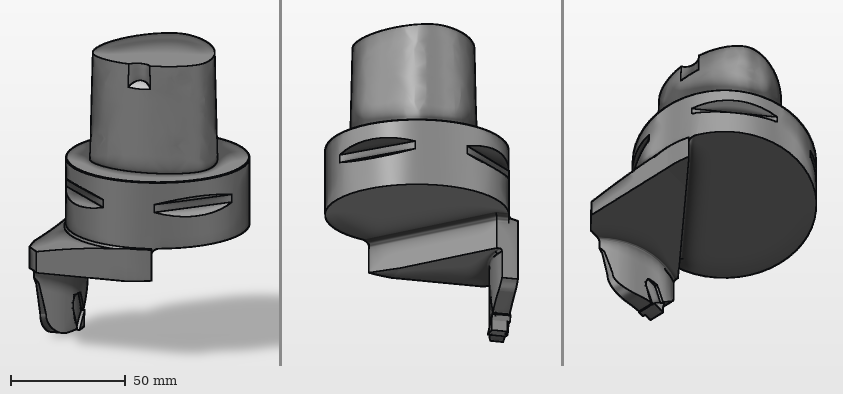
import cadquery as cq
import math


shank_length = 48.2
shank_mean_radius = 27.8
lobe_height = 2.0
taper_per_length = 1 / 40
lobe_curve_points = 48

key_radius = 6.0
key_inner_y = -21.8
key_inner_floor = 40.5

flange_radius = 40.03
flange_height = 30.1
flange_chamfer = 0.4
groove_z = -11.9
groove_floor_width = 3.5
groove_floor_distance = 35.4
groove_flank_angle = 30

platform_radius = 40.4
platform_bottom = -45.5
left_x = -47.33
blade_back_y = 10.0
corner_chamfer = (5.5, 6.4)
back_wall_start_x = -33.3
back_wall_end_x = 10.8
back_wall_fillet = 3.2
relief_start_x = -0.4
relief_rise = 0.9
cone_inner = (40.7, -31.3)
cone_outer = (58.3, -36.0)

selection_margin = 0.1

outer_arc_radius = 65.3
outer_arc_center = (-107.2, -1.3)
inner_arc_radius = 36.3
inner_arc_center_x = -70.5
blade_tip_z = -79.4
blade_front_y = -28.0
root_fillet = 1.3
blade_back_straight_z = -58.9
blade_back_bend = ((8.8, -61.5), (7.0, -64))
blade_back_foot = (0.8, -71.5)
blade_back_tip_y = -5.1
blade_corner_start_y = -13.3
blade_corner_middle = (-20.6, -76.5)
blade_corner_end = (-23.8, -68.9)
blade_front_taper_start = (-26.4, -54.3)
blade_front_straight_z = -51.1

insert_outer_x = -42.1
insert_inner_x = -35.5
insert_head_x = -33.8
insert_tip_z = -79.9
head_recess = 1.3


def arc_point_at_x(center, radius, x, side):
    """Point of a circle at a given x, on the +Y (side 1) or -Y (side -1) half."""
    return (x, center[1] + side * math.sqrt(radius**2 - (x - center[0]) ** 2))


def arc_point_at_y(center, radius, y):
    """Point of a circle at a given y, on its +X half."""
    return (center[0] + math.sqrt(radius**2 - (y - center[1]) ** 2), y)


inner_arc_center = (inner_arc_center_x, 0)
outer_front = arc_point_at_x(outer_arc_center, outer_arc_radius, left_x, -1)
outer_middle = (outer_arc_center[0] + outer_arc_radius, outer_arc_center[1])
outer_back = arc_point_at_y(outer_arc_center, outer_arc_radius, blade_back_y)
inner_front = arc_point_at_x(inner_arc_center, inner_arc_radius, left_x, -1)
inner_middle = (inner_arc_center_x + inner_arc_radius, 0)
inner_back = arc_point_at_y(inner_arc_center, inner_arc_radius, blade_back_y)

head_top_back = (0.8, -72.8)
head_top_front = (-2.2, -75.3)
head_bottom_front = (-3.6, insert_tip_z)
head_bottom_back = (0.1, insert_tip_z)
head_upper_corner = (0.1, -75.3)
insert_front_corner = (-6.3, insert_tip_z)
insert_outline = [
    (-3.5, -63.5),
    (-8.6, -63.5),
    (-9.9, -66.7),
    (-9.9, -69.3),
    insert_front_corner,
    head_bottom_back,
    head_upper_corner,
    head_top_back,
]


def yz_prism(outline, start_x, end_x):
    """Extrude a YZ outline along X."""
    return cq.Workplane("YZ", origin=(start_x, 0, 0)).polyline(outline).close().extrude(end_x - start_x)


def lobed_wire(mean_radius, z):
    """Three-lobed curve with support function mean_radius - e*cos(3t), one lobe toward +Y."""
    points = []
    for i in range(lobe_curve_points):
        t = 2 * math.pi * i / lobe_curve_points
        support = mean_radius - lobe_height * math.cos(3 * t)
        slope = 3 * lobe_height * math.sin(3 * t)
        x = support * math.sin(t) + slope * math.cos(t)
        y = slope * math.sin(t) - support * math.cos(t)
        points.append(cq.Vector(x, y, z))
    return cq.Wire.assembleEdges([cq.Edge.makeSpline(points, periodic=True)])


def make_shank():
    base = lobed_wire(shank_mean_radius, 0)
    top = lobed_wire(shank_mean_radius - shank_length * taper_per_length, shank_length)
    shank = cq.Workplane(cq.Solid.makeLoft([base, top], True))

    pocket = (
        cq.Workplane("XY", origin=(0, key_inner_y - key_radius, 0))
        .circle(key_radius)
        .extrude(shank_length)
    )
    floor_run = 2 * key_radius
    above_floor = yz_prism(
        [
            (key_inner_y, key_inner_floor),
            (key_inner_y, shank_length),
            (key_inner_y - floor_run, shank_length),
            (key_inner_y - floor_run, key_inner_floor - floor_run),
        ],
        -key_radius,
        key_radius,
    )
    return shank.cut(pocket.intersect(above_floor))


def make_flange():
    flange = cq.Workplane("XY").circle(flange_radius).extrude(-flange_height)
    flange = flange.faces(">Z").edges().chamfer(flange_chamfer)

    half_floor = groove_floor_width / 2
    depth = flange_radius - groove_floor_distance
    half_mouth = half_floor + depth * math.tan(math.radians(groove_flank_angle))
    groove = (
        cq.Workplane("XZ")
        .moveTo(groove_floor_distance, groove_z - half_floor)
        .lineTo(flange_radius, groove_z - half_mouth)
        .lineTo(flange_radius, groove_z + half_mouth)
        .lineTo(groove_floor_distance, groove_z + half_floor)
        .close()
        .extrude(flange_radius, both=True)
    )
    for angle in (45, 135, 225, 315):
        flange = flange.cut(groove.rotate((0, 0, 0), (0, 0, 1), angle))
    return flange


def make_platform_slab():
    wall_end = arc_point_at_x((0, 0), platform_radius, back_wall_end_x, -1)
    arc_middle = arc_point_at_x((0, 0), platform_radius, back_wall_end_x / 2, -1)
    return (
        cq.Workplane("XY", origin=(0, 0, platform_bottom))
        .moveTo(left_x, -platform_radius + corner_chamfer[1])
        .lineTo(*outer_front)
        .threePointArc(outer_middle, outer_back)
        .lineTo(back_wall_start_x, blade_back_y)
        .lineTo(*wall_end)
        .threePointArc(arc_middle, (0, -platform_radius))
        .lineTo(left_x + corner_chamfer[0], -platform_radius)
        .close()
        .extrude(-flange_height - platform_bottom)
    )


def make_platform():
    slab = make_platform_slab()

    cone = (
        cq.Workplane("XZ")
        .polyline(
            [
                (0, platform_bottom),
                (0, -flange_height),
                (flange_radius, -flange_height),
                cone_inner,
                cone_outer,
                (cone_outer[0], platform_bottom),
            ]
        )
        .close()
        .revolve(360, (0, 0, 0), (0, 1, 0))
    )

    relief = (
        cq.Workplane("XZ")
        .polyline(
            [
                (relief_start_x, platform_bottom),
                (back_wall_end_x, platform_bottom),
                (back_wall_end_x, platform_bottom + relief_rise),
            ]
        )
        .close()
        .extrude(flange_radius * 2)
    )

    plate_radius = 2 * flange_radius
    plate = cq.Workplane("XY", origin=(0, 0, -flange_height)).circle(plate_radius).extrude(flange_height / 2)
    junction = cq.selectors.BoxSelector(
        (-plate_radius, -plate_radius, -flange_height - selection_margin),
        (plate_radius, plate_radius, -flange_height + selection_margin),
    )
    blended = plate.union(slab).edges(junction).fillet(back_wall_fillet)
    slab_height = -flange_height - platform_bottom
    rim = cq.Workplane("XY", origin=(0, 0, platform_bottom)).circle(flange_radius).extrude(slab_height)
    blend = blended.intersect(rim)
    return slab.intersect(cone).union(blend).cut(relief)


def make_blade():
    plan = (
        cq.Workplane("XY", origin=(0, 0, blade_tip_z))
        .moveTo(*outer_front)
        .threePointArc(outer_middle, outer_back)
        .lineTo(*inner_back)
        .threePointArc(inner_middle, inner_front)
        .close()
        .extrude(platform_bottom - blade_tip_z)
    )
    side = (
        cq.Workplane("YZ", origin=(left_x, 0, 0))
        .moveTo(blade_back_y, platform_bottom)
        .lineTo(blade_back_y, blade_back_straight_z)
        .threePointArc(*blade_back_bend)
        .lineTo(*blade_back_foot)
        .lineTo(blade_back_tip_y, blade_tip_z)
        .lineTo(blade_corner_start_y, blade_tip_z)
        .threePointArc(blade_corner_middle, blade_corner_end)
        .lineTo(*blade_front_taper_start)
        .lineTo(blade_front_y, blade_front_straight_z)
        .lineTo(blade_front_y, platform_bottom)
        .close()
        .extrude(inner_middle[0] - left_x)
    )
    return plan.intersect(side)


def make_holder():
    holder = make_flange().union(make_platform())
    holder = holder.union(make_shank()).union(make_blade())
    root = cq.selectors.BoxSelector(
        (left_x, blade_front_y, platform_bottom - selection_margin),
        (inner_middle[0], 0, platform_bottom + selection_margin),
    )
    holder = holder.edges(root).fillet(root_fillet)
    insert_pocket = yz_prism(insert_outline, left_x, insert_head_x)
    return holder.cut(insert_pocket).solids()


def make_insert():
    body = yz_prism(insert_outline, insert_outer_x, insert_inner_x)
    head_outline = [
        head_top_back,
        head_upper_corner,
        head_bottom_back,
        insert_front_corner,
        head_top_front,
    ]
    head = yz_prism(head_outline, insert_inner_x, insert_head_x)
    recess_outline = [
        head_upper_corner,
        head_top_front,
        head_bottom_front,
        head_bottom_back,
    ]
    recess = yz_prism(recess_outline, insert_outer_x, insert_outer_x + head_recess)
    return body.union(head).cut(recess).solids()


holder = make_holder()
insert = make_insert()
result = cq.Compound.makeCompound([holder.val(), insert.val()])